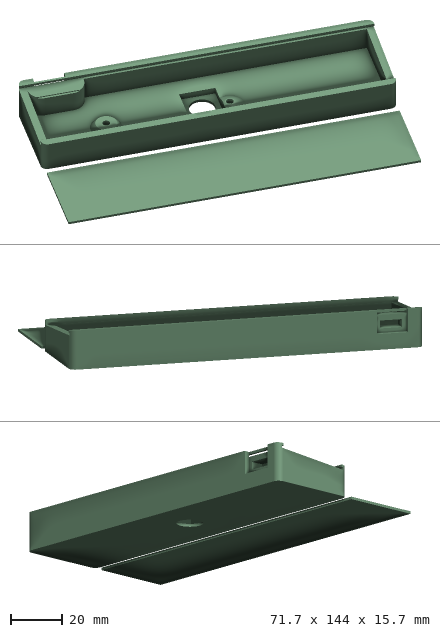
import cadquery as cq
import math

LENGTH = 144.0
WIDTH = 36.9
HEIGHT = 15.7
CORNER_RADIUS = 2.6
SIDE_WALL = 2.9
END_WALL = 3.0
FLOOR = 3.9
SLOPE = math.tan(math.radians(5))

LID_WIDTH = 31.7
LID_LENGTH = 143.0
LID_THICKNESS = 1.0
TOTAL_WIDTH = 71.7
GROOVE_START = 2.0
GROOVE_END = 34.5
GROOVE_BOTTOM_DEPTH = 2.0
LIP_END = WIDTH - SIDE_WALL

BLOCK_DEPTH = 6.3
BLOCK_LENGTH = 23.0
BLOCK_RADIUS = 5.8
BLOCK_STEP_WIDTH = 0.9
BLOCK_STEP_HEIGHT = 12.5

NOTCH_START = 6.3
NOTCH_LENGTH = 12.7
NOTCH_BOTTOM = 6.3
SLOT_START = 8.2
SLOT_LENGTH = 9.0
SLOT_BOTTOM = 8.0
SLOT_HEIGHT = 3.2
SLOT_END = 7.5

POST_X = 22.8
POST_Y = 29.8
CONE_Y = 79.9
POST_HEIGHT = 2.2
POST_BASE_RADIUS = 6.3
POST_TOP_RADIUS = 4.3
CONE_TOP_RADIUS = 1.9
SCREW_DIAMETER = 3.0

POCKET_X = 18.1
POCKET_Y = 70.0
POCKET_SIZE = 14.7
POCKET_DEPTH = 2.7
WINDOW_DIAMETER = 10.5


def box(x, y, z, x_size, y_size, z_size):
    """Box placed by its lowest corner."""
    return cq.Workplane("XY").box(x_size, y_size, z_size, centered=False).translate((x, y, z))


def sloping_cut(x_start, x_end, bottom_depth, top_depth):
    """Full-length band between two depths below the sloping rim plane."""
    def z_at(x, depth):
        return HEIGHT - SLOPE * x - depth

    return (
        cq.Workplane("XZ")
        .moveTo(x_start, z_at(x_start, bottom_depth))
        .lineTo(x_end, z_at(x_end, bottom_depth))
        .lineTo(x_end, z_at(x_end, top_depth))
        .lineTo(x_start, z_at(x_start, top_depth))
        .close()
        .extrude(-LENGTH)
    )


def make_cone(y, top_radius):
    """Solid tapered post standing on the floor."""
    return cq.Workplane(
        cq.Solid.makeCone(POST_BASE_RADIUS, top_radius, POST_HEIGHT, cq.Vector(POST_X, y, FLOOR))
    )


def make_screw_hole(y):
    """Blind screw hole from the post top down to the floor."""
    return cq.Workplane("XY", origin=(POST_X, y, FLOOR)).circle(SCREW_DIAMETER / 2).extrude(POST_HEIGHT)


def make_pocket():
    half = POCKET_SIZE / 2
    return box(
        POCKET_X - half, POCKET_Y - half, FLOOR - POCKET_DEPTH,
        POCKET_SIZE, POCKET_SIZE, POCKET_DEPTH + POST_HEIGHT,
    )


def make_corner_block():
    """Block with two rounded vertical edges, joined to the -X and -Y walls."""
    block = box(SIDE_WALL, END_WALL, FLOOR, BLOCK_DEPTH, BLOCK_LENGTH, HEIGHT - FLOOR)
    block = block.edges("|Z and >X").fillet(BLOCK_RADIUS)
    step_x = SIDE_WALL + BLOCK_DEPTH - BLOCK_STEP_WIDTH
    return block.cut(box(step_x, END_WALL, BLOCK_STEP_HEIGHT, BLOCK_STEP_WIDTH, BLOCK_LENGTH, HEIGHT))


def make_housing():
    body = box(0, 0, 0, WIDTH, LENGTH, HEIGHT).edges("|Z").fillet(CORNER_RADIUS)
    cavity = box(
        SIDE_WALL, END_WALL, FLOOR,
        WIDTH - 2 * SIDE_WALL, LENGTH - 2 * END_WALL, HEIGHT,
    )
    body = body.cut(cavity).union(make_corner_block())

    body = body.cut(sloping_cut(0, WIDTH, 0, -HEIGHT))
    groove_top_depth = GROOVE_BOTTOM_DEPTH - LID_THICKNESS
    body = body.cut(sloping_cut(GROOVE_START, GROOVE_END, GROOVE_BOTTOM_DEPTH, groove_top_depth))
    body = body.cut(sloping_cut(SIDE_WALL, LIP_END, GROOVE_BOTTOM_DEPTH, -HEIGHT))

    body = body.cut(box(0, NOTCH_START, NOTCH_BOTTOM, GROOVE_START, NOTCH_LENGTH, HEIGHT))
    body = body.cut(box(0, SLOT_START, SLOT_BOTTOM, SLOT_END, SLOT_LENGTH, SLOT_HEIGHT))

    body = body.union(make_cone(POST_Y, POST_TOP_RADIUS)).cut(make_screw_hole(POST_Y))
    window = cq.Workplane("XY").center(POCKET_X, POCKET_Y).circle(WINDOW_DIAMETER / 2).extrude(FLOOR)
    return body.cut(make_pocket()).cut(window)


def make_cone_mount():
    """Conical mount on the floor, trimmed flush with the pocket."""
    return make_cone(CONE_Y, CONE_TOP_RADIUS).cut(make_screw_hole(CONE_Y)).cut(make_pocket())


def make_lid():
    return box(TOTAL_WIDTH - LID_WIDTH, LENGTH - LID_LENGTH, 0, LID_WIDTH, LID_LENGTH, LID_THICKNESS)


housing = make_housing()
cone_mount = make_cone_mount()
lid = make_lid()
result = cq.Compound.makeCompound([housing.solids().val(), cone_mount.solids().val(), lid.val()])